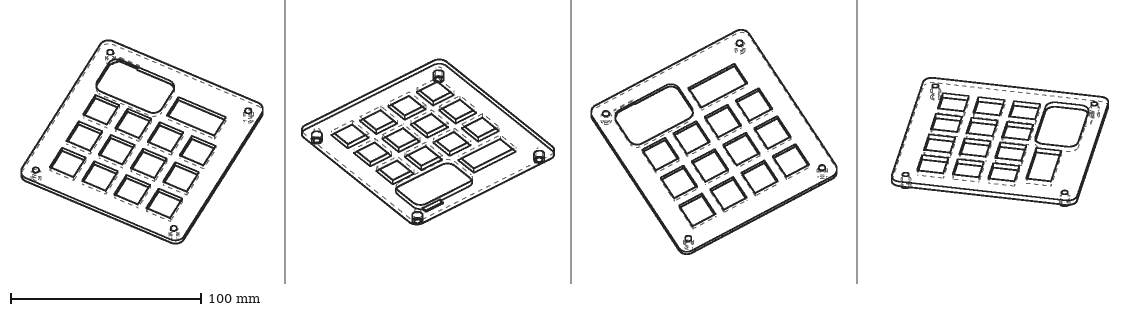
import cadquery as cq

plate_width = 95.6
plate_length = 99.1
plate_thickness = 3.0
corner_radius = 5.0

overall_height = 7.0
boss_height = overall_height - plate_thickness
boss_diameter = 5.5
screw_hole_diameter = 3.4
screw_inset = 7.0

key_columns = 4
key_rows = 3
key_size = 14.0
key_pitch = 19.0
key_grid_center = (0.4, -11.4)

window_width = 38.2
window_height = 22.9
window_radius = 5.0
window_center = (-19.2, 29.3)

relief_left = -35.7
relief_right = -24.0
relief_depth = 1.0
relief_reach = 2.5

display_width = 28.0
display_height = 13.3
display_center = (18.2, 26.9)


def block(width, length, center=(0, 0)):
    """Plate-thick rectangular block standing on Z = 0."""
    return cq.Workplane("XY").center(*center).rect(width, length).extrude(plate_thickness)


plate = block(plate_width, plate_length).edges("|Z").fillet(corner_radius)

window = block(window_width, window_height, window_center).edges("|Z").fillet(window_radius)
display = block(display_width, display_height, display_center)
keys = (
    cq.Workplane("XY")
    .center(*key_grid_center)
    .rarray(key_pitch, key_pitch, key_columns, key_rows)
    .rect(key_size, key_size)
    .extrude(plate_thickness)
)

window_top = window_center[1] + window_height / 2
relief = cq.Workplane("XY").box(
    relief_right - relief_left,
    window_radius + relief_reach,
    relief_depth,
    centered=False,
).translate((relief_left, window_top - window_radius, 0))

plate = plate.cut(window).cut(display).cut(keys).cut(relief)


def corner_cylinders(diameter, bottom, height):
    """Four upright cylinders at the screw positions."""
    return (
        cq.Workplane("XY", origin=(0, 0, bottom))
        .rarray(plate_width - 2 * screw_inset, plate_length - 2 * screw_inset, 2, 2)
        .circle(diameter / 2)
        .extrude(height)
    )


bosses = corner_cylinders(boss_diameter, -boss_height, boss_height)
screw_holes = corner_cylinders(screw_hole_diameter, -boss_height, overall_height)

result = plate.union(bosses).cut(screw_holes)